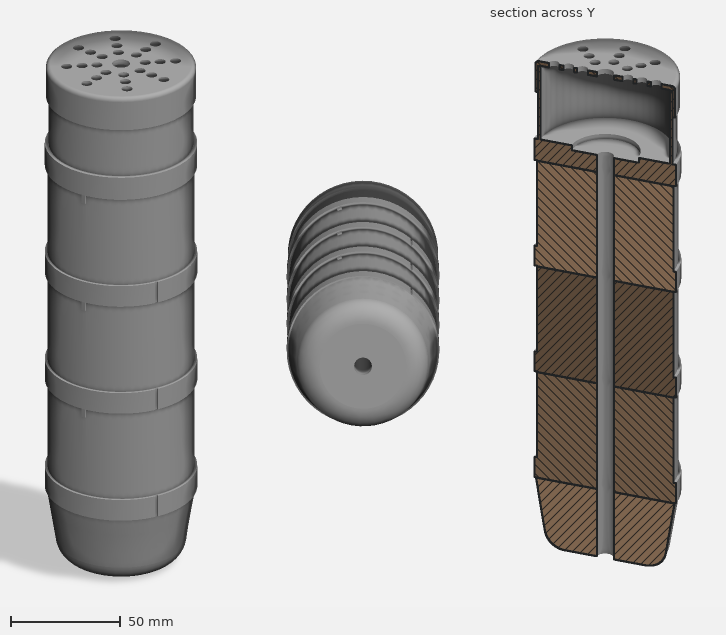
import cadquery as cq
import math

TOTAL_HEIGHT = 252.5
BORE_DIA = 8.0
BAND_DIA = 69.7

NOSE_HEIGHT = 35.4
NOSE_TOP_DIA = 68.2
NOSE_BOTTOM_DIA = 56.8
NOSE_FILLET = 10.0

MODULE_COUNT = 3
MODULE_PITCH = 55.0
MODULE_DIA = 67.2
MODULE_BAND_HEIGHT = 10.5
LUG_WIDTH = 2.0
LUG_HEIGHT = 4.5
LUG_PROTRUSION = 0.8
LUG_X = 5.0
SLIT_ANGLE = -23.5
SLIT_WIDTH = 1.3
SLIT_DEPTH = 0.8

LID_DIA = 68.7
LID_HEIGHT = 16.5
LID_PLATE = 2.5
LID_FILLET = 2.0
HOLE_DIA = 5.0
HOLE_ROW_COUNT = 8
HOLE_RING_RADII = (11.0, 18.0, 25.0)

NECK_DIA = 66.2
NECK_INNER_DIA = 63.5
NECK_BAND_HEIGHT = 11.4
RECESS_DIA = 32.5
RECESS_DEPTH = 2.5

neck_base = NOSE_HEIGHT + MODULE_COUNT * MODULE_PITCH
neck_floor = neck_base + NECK_BAND_HEIGHT
neck_top = TOTAL_HEIGHT - LID_PLATE
lid_base = TOTAL_HEIGHT - LID_HEIGHT


def cylinder(diameter, bottom, top):
    return cq.Workplane("XY").workplane(offset=bottom).circle(diameter / 2).extrude(top - bottom)


def bored(body):
    return body.cut(cylinder(BORE_DIA, 0, TOTAL_HEIGHT))


def make_nose():
    nose = (
        cq.Workplane("XY")
        .circle(NOSE_BOTTOM_DIA / 2)
        .workplane(offset=NOSE_HEIGHT)
        .circle(NOSE_TOP_DIA / 2)
        .loft(ruled=True)
    )
    return bored(nose.faces("<Z").edges().fillet(NOSE_FILLET))


def make_lug(top):
    reach = math.sqrt((MODULE_DIA / 2) ** 2 - LUG_X**2) + LUG_PROTRUSION
    inner = MODULE_DIA / 4
    lug = cq.Workplane("XY").box(LUG_WIDTH, reach - inner, LUG_HEIGHT, centered=(True, False, False))
    return lug.translate((LUG_X, -reach, top - LUG_HEIGHT))


def make_slit(base):
    slit = cq.Workplane("XY").box(
        2 * SLIT_DEPTH, SLIT_WIDTH, MODULE_BAND_HEIGHT, centered=(True, True, False)
    )
    return slit.translate((BAND_DIA / 2, 0, base)).rotate((0, 0, 0), (0, 0, 1), SLIT_ANGLE)


def make_module(base):
    top = base + MODULE_PITCH
    barrel = cylinder(MODULE_DIA, base, top)
    band = cylinder(BAND_DIA, base, base + MODULE_BAND_HEIGHT)
    return bored(barrel.union(band).union(make_lug(top)).cut(make_slit(base)))


def make_neck():
    neck = cylinder(NECK_DIA, neck_base, neck_top)
    neck = neck.union(cylinder(BAND_DIA, neck_base, neck_floor))
    neck = neck.cut(cylinder(NECK_INNER_DIA, neck_floor, neck_top))
    neck = neck.cut(cylinder(RECESS_DIA, neck_floor - RECESS_DEPTH, neck_floor))
    return bored(neck)


def make_lid():
    lid = cylinder(LID_DIA, lid_base, TOTAL_HEIGHT)
    lid = lid.faces(">Z").edges().fillet(LID_FILLET)
    lid = lid.cut(cylinder(NECK_DIA, lid_base, neck_top))
    for ring_radius in HOLE_RING_RADII:
        holes = (
            cq.Workplane("XY")
            .workplane(offset=neck_top)
            .polarArray(ring_radius, 0, 360, HOLE_ROW_COUNT)
            .circle(HOLE_DIA / 2)
            .extrude(LID_PLATE)
        )
        lid = lid.cut(holes)
    return bored(lid)


nose = make_nose()
modules = [make_module(NOSE_HEIGHT + index * MODULE_PITCH) for index in range(MODULE_COUNT)]
neck = make_neck()
lid = make_lid()

result = cq.Compound.makeCompound(
    [nose.val(), *[module.val() for module in modules], neck.val(), lid.val()]
)